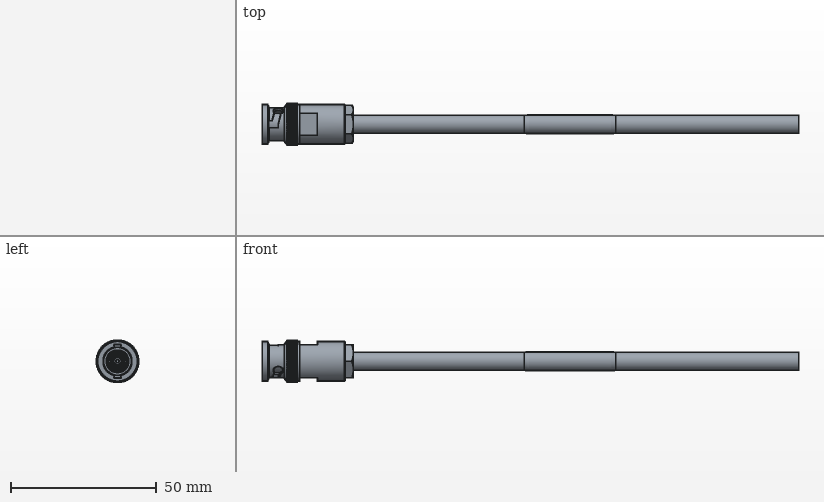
import cadquery as cq
import math

TOTAL_LENGTH = 183.9

FLANGE_RADIUS = 6.8
FLANGE_LENGTH = 1.8
FLANGE_BEVEL = 0.5
NECK_RADIUS = 5.7
GRIP_START = 7.5
GRIP_END = 12.0
GRIP_DIAMETER = 14.5
GRIP_RADIUS = GRIP_DIAMETER / 2
GRIP_BEVEL = 1.1
COUPLING_END = 12.9
COUPLING_BORE_RADIUS = 4.8
COUPLING_MOUTH_BEVEL = 0.2
KNURL_COUNT = 60
KNURL_DEPTH = 0.28

TRACK_COUNT = 2
TRACK_WIDTH = 2.4
TRACK_OUTER_RADIUS = 5.9
TRACK_FLOOR_RADIUS = 4.2
TRACK_END = 5.5
LATCH_X = 5.5
LATCH_RADIUS = 1.7
LATCH_TURN = 55.0
RAMP_START = TRACK_END - TRACK_WIDTH / 2

BODY_RADIUS = 6.8
BODY_END = 28.5
BODY_BEVEL = 0.4
SPIGOT_START = GRIP_START
FLAT_HALF_HEIGHT = 5.7
FLAT_END = 19.0
SHELL_START = 1.5
SHELL_RADIUS = 3.9
SHELL_BORE_RADIUS = 3.5
INSULATOR_START = 2.5
INSULATOR_RADIUS = 3.0
INSULATOR_NOSE_RADIUS = 2.4
INSULATOR_BEVEL = INSULATOR_RADIUS - INSULATOR_NOSE_RADIUS
INSULATOR_BORE_RADIUS = 1.3
INSULATOR_MOUTH_RADIUS = 1.8
INSULATOR_MOUTH_DEPTH = INSULATOR_MOUTH_RADIUS - INSULATOR_BORE_RADIUS
PIN_START = 2.2
PIN_RADIUS = 0.5

NUT_END = 31.3
NUT_FLATS = 2 * FLAT_HALF_HEIGHT
NUT_FACE_RADIUS = FLAT_HALF_HEIGHT
NUT_CORNER_RADIUS = NUT_FLATS / math.sqrt(3)
NUT_BEVEL = 0.5

CABLE_RADIUS = 3.1
LABEL_START = 89.7
LABEL_END = 121.2
LABEL_TAPER = 1.7
LABEL_THICKNESS = 0.11


def turned(points):
    """Revolve a closed outline of (x, radius) points about the X axis."""
    return cq.Workplane("XZ").polyline(points).close().revolve(360, (0, 0), (1, 0))


def x_cylinder(start, end, radius):
    return cq.Workplane("YZ", origin=(start, 0, 0)).circle(radius).extrude(end - start)


def about_x(shape, angle):
    return shape.rotate((0, 0, 0), (1, 0, 0), angle)


def knurl_groove():
    """A V groove along the top of the grip."""
    profile = [
        (-KNURL_DEPTH, GRIP_RADIUS + KNURL_DEPTH / 2),
        (KNURL_DEPTH, GRIP_RADIUS + KNURL_DEPTH / 2),
        (0, GRIP_RADIUS - KNURL_DEPTH),
    ]
    return (
        cq.Workplane("YZ", origin=(GRIP_START, 0, 0))
        .polyline(profile)
        .close()
        .extrude(GRIP_END - GRIP_START)
    )


def bayonet_track():
    """The cutter for one track, entering at the top and turning toward +Y."""
    ring = x_cylinder(0, TRACK_END, TRACK_OUTER_RADIUS)
    entry = (
        cq.Workplane("XY")
        .rect(2 * TRACK_END, TRACK_WIDTH)
        .extrude(TRACK_OUTER_RADIUS)
        .intersect(ring)
    )

    rise = LATCH_X - RAMP_START
    pitch = rise * 360 / LATCH_TURN
    helix = cq.Wire.makeHelix(pitch, rise, TRACK_FLOOR_RADIUS)
    ramp = (
        cq.Workplane("XZ")
        .center((TRACK_FLOOR_RADIUS + TRACK_OUTER_RADIUS) / 2, 0)
        .rect(TRACK_OUTER_RADIUS - TRACK_FLOOR_RADIUS, TRACK_WIDTH)
        .sweep(cq.Workplane(obj=helix), isFrenet=True)
        .mirror("XZ")
        .rotate((0, 0, 0), (0, 1, 0), 90)
    )
    ramp = about_x(ramp, 180).translate((RAMP_START, 0, 0))

    latch = cq.Workplane("XY").center(LATCH_X, 0).circle(LATCH_RADIUS).extrude(GRIP_RADIUS)
    return entry.union(ramp).union(about_x(latch, -LATCH_TURN))


def make_coupling():
    coupling = turned([
        (0, COUPLING_BORE_RADIUS + COUPLING_MOUTH_BEVEL),
        (0, FLANGE_RADIUS),
        (FLANGE_LENGTH, FLANGE_RADIUS),
        (FLANGE_LENGTH + FLANGE_BEVEL, NECK_RADIUS),
        (GRIP_START, NECK_RADIUS),
        (GRIP_START + GRIP_BEVEL, GRIP_RADIUS),
        (GRIP_END, GRIP_RADIUS),
        (GRIP_END, FLANGE_RADIUS),
        (COUPLING_END, FLANGE_RADIUS),
        (COUPLING_END, COUPLING_BORE_RADIUS),
        (COUPLING_MOUTH_BEVEL, COUPLING_BORE_RADIUS),
    ])
    for index in range(KNURL_COUNT):
        coupling = coupling.cut(about_x(knurl_groove(), index * 360 / KNURL_COUNT))
    for index in range(TRACK_COUNT):
        coupling = coupling.cut(about_x(bayonet_track(), index * 360 / TRACK_COUNT))
    return coupling


def make_body():
    """The connector body with its contact shell, insulator and centre pin."""
    body = turned([
        (PIN_START, 0),
        (PIN_START, PIN_RADIUS),
        (SPIGOT_START, PIN_RADIUS),
        (SPIGOT_START, INSULATOR_BORE_RADIUS),
        (INSULATOR_START + INSULATOR_MOUTH_DEPTH, INSULATOR_BORE_RADIUS),
        (INSULATOR_START, INSULATOR_MOUTH_RADIUS),
        (INSULATOR_START, INSULATOR_NOSE_RADIUS),
        (INSULATOR_START + INSULATOR_BEVEL, INSULATOR_RADIUS),
        (SPIGOT_START, INSULATOR_RADIUS),
        (SPIGOT_START, SHELL_BORE_RADIUS),
        (SHELL_START, SHELL_BORE_RADIUS),
        (SHELL_START, SHELL_RADIUS),
        (SPIGOT_START, SHELL_RADIUS),
        (SPIGOT_START, COUPLING_BORE_RADIUS),
        (COUPLING_END, COUPLING_BORE_RADIUS),
        (COUPLING_END, BODY_RADIUS),
        (BODY_END - BODY_BEVEL, BODY_RADIUS),
        (BODY_END, BODY_RADIUS - BODY_BEVEL),
        (BODY_END, 0),
    ])
    flat_length = FLAT_END - COUPLING_END
    flat_depth = BODY_RADIUS - FLAT_HALF_HEIGHT
    flat_cutter = (
        cq.Workplane("XY", origin=(COUPLING_END + flat_length / 2, 0, FLAT_HALF_HEIGHT))
        .rect(flat_length, 2 * BODY_RADIUS)
        .extrude(flat_depth)
    )
    for angle in (0, 180):
        body = body.cut(about_x(flat_cutter, angle))
    return body


def make_nut():
    """A hexagon nut with flats up and down and its rear corners bevelled."""
    hexagon = (
        cq.Workplane("YZ", origin=(BODY_END, 0, 0))
        .polygon(6, 2 * NUT_CORNER_RADIUS)
        .circle(CABLE_RADIUS)
        .extrude(NUT_END - BODY_END)
    )
    envelope = turned([
        (BODY_END, 0),
        (BODY_END, NUT_CORNER_RADIUS),
        (NUT_END - NUT_BEVEL, NUT_CORNER_RADIUS),
        (NUT_END, NUT_FACE_RADIUS),
        (NUT_END, 0),
    ])
    return hexagon.intersect(envelope)


def make_cable():
    return turned([
        (BODY_END, 0),
        (BODY_END, CABLE_RADIUS),
        (TOTAL_LENGTH, CABLE_RADIUS),
        (TOTAL_LENGTH, 0),
    ])


def make_label():
    """A thin sleeve on the cable, tapered to nothing at both ends."""
    return turned([
        (LABEL_START, CABLE_RADIUS),
        (LABEL_START + LABEL_TAPER, CABLE_RADIUS + LABEL_THICKNESS),
        (LABEL_END - LABEL_TAPER, CABLE_RADIUS + LABEL_THICKNESS),
        (LABEL_END, CABLE_RADIUS),
    ])


coupling = make_coupling()
body = make_body()
nut = make_nut()
cable = make_cable()
label = make_label()

result = cq.Compound.makeCompound([
    coupling.solids().val(),
    body.solids().val(),
    nut.solids().val(),
    cable.solids().val(),
    label.solids().val(),
])